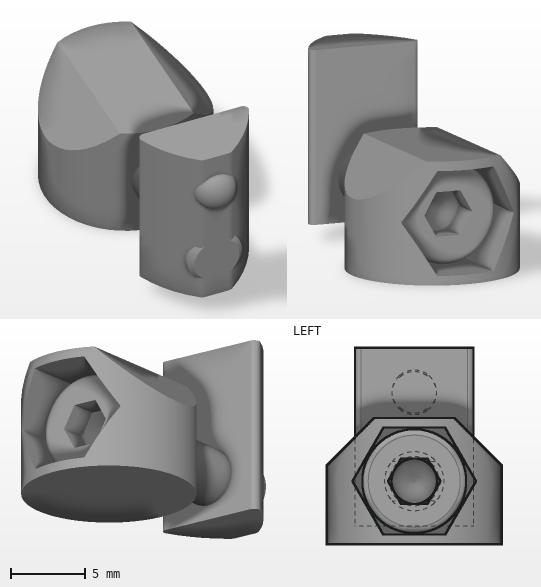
import cadquery as cq
import math

housing_diameter = 11.8
housing_height = 8.5
top_flat_width = 5.4
housing_radius = housing_diameter / 2
top_slope_drop = housing_radius - top_flat_width / 2
pocket_across_flats = 7.2
pocket_floor_x = 7.25

screw_diameter = 3.99
screw_axis_z = housing_height / 2
tip_chamfer = 0.33
head_diameter = 7.0
head_height = 4.0
head_rounding = 0.4
socket_across_flats = 3.05
socket_depth = 2.0
socket_cone_depth = 0.89
head_face_x = pocket_floor_x - head_height

nut_back_x = 17.0
nut_depth = 4.18
nut_height = 12.0
nut_top_z = 13.25
nut_back_half_width = 4.18
nut_middle_depth = 2.6
nut_middle_half_width = 2.72
nut_nose_half_width = 1.05
nut_back_rounding = 0.4
nut_nose_rounding = 0.6
nut_nose_x = nut_back_x + nut_depth
nut_bottom_z = nut_top_z - nut_height

overall_length = 22.15
ball_radius = 1.5
ball_x = overall_length - ball_radius
ball_z = nut_top_z + nut_bottom_z - screw_axis_z


def screw_plane(x):
    """Plane across the screw axis at the given X, facing +X."""
    return cq.Workplane("YZ", origin=(x, 0, screw_axis_z))


def rod(start_x, end_x, diameter):
    """Cylinder on the screw axis."""
    return screw_plane(start_x).circle(diameter / 2).extrude(end_x - start_x)


def hexagonal_rod(start_x, end_x, across_flats):
    """Hexagonal prism on the screw axis, with two corners pointing along Y."""
    across_corners = across_flats / math.cos(math.pi / 6)
    return screw_plane(start_x).polygon(6, across_corners).extrude(end_x - start_x)


def make_housing():
    profile = (
        cq.Workplane("YZ")
        .moveTo(-housing_radius, 0)
        .lineTo(housing_radius, 0)
        .lineTo(housing_radius, housing_height - top_slope_drop)
        .lineTo(top_flat_width / 2, housing_height)
        .lineTo(-top_flat_width / 2, housing_height)
        .lineTo(-housing_radius, housing_height - top_slope_drop)
        .close()
        .extrude(housing_diameter)
    )
    block = cq.Workplane("XY", origin=(housing_radius, 0, 0)).circle(housing_radius).extrude(housing_height)
    pocket = hexagonal_rod(0, pocket_floor_x, pocket_across_flats)
    screw_hole = rod(pocket_floor_x, housing_diameter, screw_diameter)
    return block.intersect(profile).cut(pocket).cut(screw_hole)


def make_screw():
    head = rod(head_face_x, pocket_floor_x, head_diameter).faces("<X").edges().fillet(head_rounding)
    shank = rod(pocket_floor_x, nut_nose_x, screw_diameter).faces(">X").edges().chamfer(tip_chamfer)
    socket_floor_x = head_face_x + socket_depth
    socket = hexagonal_rod(head_face_x, socket_floor_x, socket_across_flats)
    socket_cone = cq.Workplane(
        cq.Solid.makeCone(
            socket_across_flats / 2,
            0,
            socket_cone_depth,
            pnt=cq.Vector(socket_floor_x, 0, screw_axis_z),
            dir=cq.Vector(1, 0, 0),
        )
    )
    return head.union(shank).cut(socket).cut(socket_cone)


def make_ball():
    return cq.Workplane("XY", origin=(ball_x, 0, ball_z)).sphere(ball_radius)


def make_nut(screw, ball):
    middle_x = nut_back_x + nut_middle_depth
    bar = (
        cq.Workplane("XY", origin=(0, 0, nut_bottom_z))
        .moveTo(nut_back_x, -nut_back_half_width)
        .threePointArc((middle_x, -nut_middle_half_width), (nut_nose_x, -nut_nose_half_width))
        .lineTo(nut_nose_x, nut_nose_half_width)
        .threePointArc((middle_x, nut_middle_half_width), (nut_back_x, nut_back_half_width))
        .close()
        .extrude(nut_height)
        .edges("|Z and <X")
        .fillet(nut_back_rounding)
        .edges("|Z and >X")
        .fillet(nut_nose_rounding)
    )
    return bar.cut(screw).cut(ball)


housing = make_housing()
screw = make_screw()
ball = make_ball()
nut = make_nut(screw, ball)

result = cq.Compound.makeCompound([housing.val(), screw.val(), nut.val(), ball.val()])